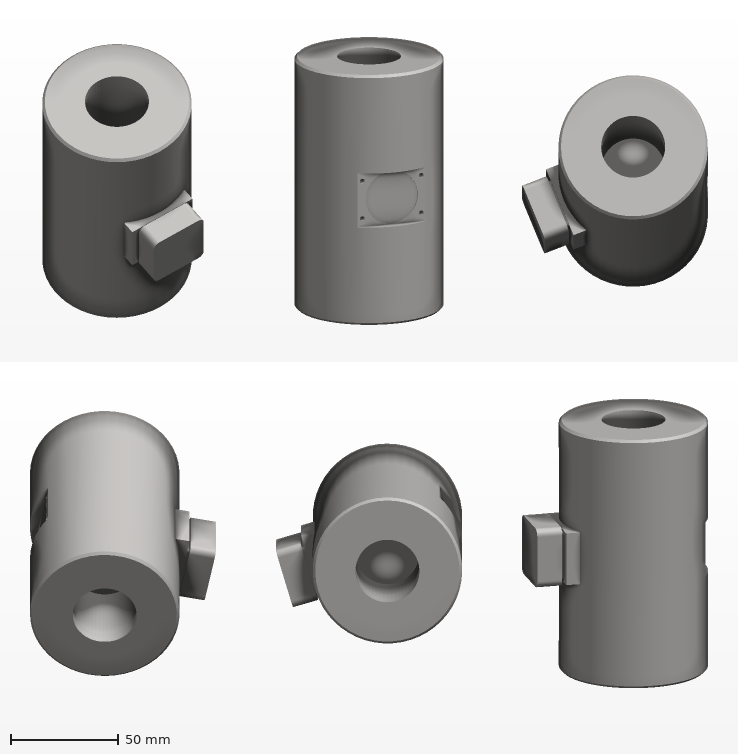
import cadquery as cq
import math

body_height = 120.6
body_diameter = 69.6
end_chamfer = 1.2
body_radius = body_diameter / 2

bore_diameter = 29.8
bore_depth = 39.8

flat_width = 34.3
flat_height = 26.1
flat_x = math.sqrt(body_radius**2 - (flat_width / 2) ** 2)

recess_diameter = 25.7
recess_depth = 0.5

screw_hole_diameter = 2.3
screw_hole_depth = 4.8
screw_spacing_y = 29.3
screw_spacing_z = 18.1
drill_point_angle = 118.0

overall_length_x = 84.8
connector_end_x = overall_length_x - body_radius
base_end_x = 36.8
base_height = 25.1
neck_end_x = 38.0
neck_size = 23.8
neck_corner_radius = 1.5
shell_size = 28.5
shell_corner_radius = 3.3


def make_body():
    body = cq.Workplane("XY").circle(body_radius).extrude(body_height / 2, both=True)
    body = body.faces("<Z or >Z").chamfer(end_chamfer)
    for face in (">Z", "<Z"):
        body = body.faces(face).workplane(origin=(0, 0, 0)).hole(bore_diameter, bore_depth)
    return body


def flat_cutter(side):
    """Block removing everything beyond the flat; side is +1 for +X, -1 for -X."""
    cut_depth = body_radius - flat_x
    cutter = cq.Workplane("XY").box(cut_depth, body_diameter, flat_height)
    return cutter.translate((side * (flat_x + cut_depth / 2), 0, 0))


def round_recess():
    recess = cq.Workplane("YZ", origin=(-flat_x, 0, 0))
    return recess.circle(recess_diameter / 2).extrude(recess_depth)


def screw_holes():
    """Four drilled holes running in +X from the flat, each with a conical bottom."""
    radius = screw_hole_diameter / 2
    point_length = radius / math.tan(math.radians(drill_point_angle / 2))
    drill = (
        cq.Workplane("XY")
        .polyline([
            (0, 0),
            (screw_hole_depth + point_length, 0),
            (screw_hole_depth, radius),
            (0, radius),
        ])
        .close()
        .revolve(360, (0, 0, 0), (1, 0, 0))
    )
    drills = cq.Workplane("XY")
    for y in (-screw_spacing_y / 2, screw_spacing_y / 2):
        for z in (-screw_spacing_z / 2, screw_spacing_z / 2):
            drills = drills.add(drill.translate((-flat_x, y, z)))
    return drills.combine()


def connector_block(start_x, end_x, width, height):
    """Block centred on the X axis, reaching from start_x to end_x."""
    return cq.Workplane("YZ", origin=(start_x, 0, 0)).rect(width, height).extrude(end_x - start_x)


def make_connector():
    base = connector_block(flat_x, base_end_x, flat_width, base_height)
    neck = connector_block(base_end_x, neck_end_x, neck_size, neck_size)
    neck = neck.edges("|X").fillet(neck_corner_radius)
    shell = connector_block(neck_end_x, connector_end_x, shell_size, shell_size)
    shell = shell.edges("|X").fillet(shell_corner_radius)
    return base.union(neck).union(shell)


result = make_body()
for side in (-1, 1):
    result = result.cut(flat_cutter(side))
result = result.cut(round_recess()).cut(screw_holes()).union(make_connector())